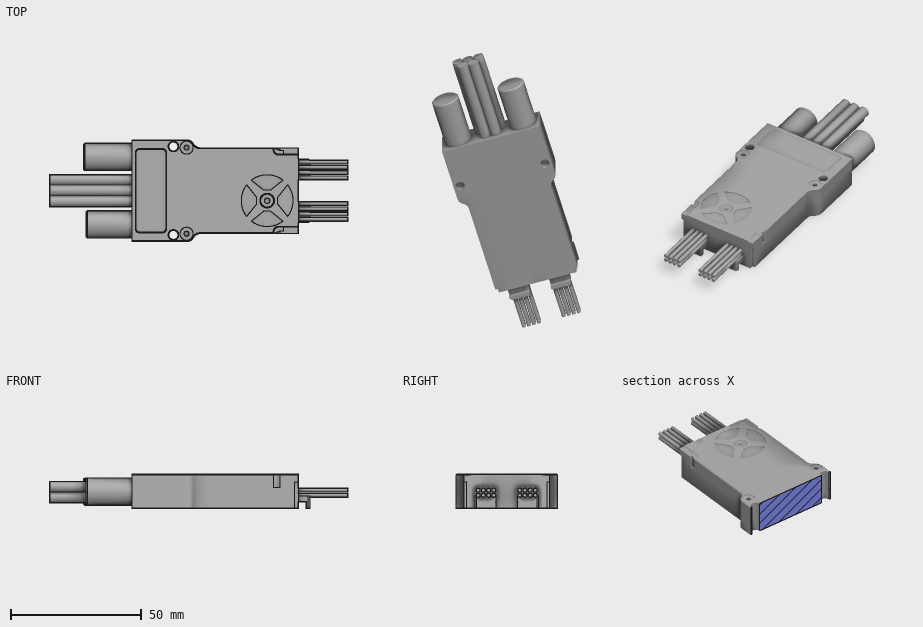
import cadquery as cq
import math

TOTAL_LENGTH = 114.1
BODY_LENGTH = 63.6
BODY_HEIGHT = 13.04
WIDE_WIDTH = 38.91
NARROW_WIDTH = 32.8
PARTING_HEIGHT = 8.0
EAR_RADIUS = 3.0
EAR_X = 20.9
TOP_CHAMFER = 0.35
HALF_WIDE = WIDE_WIDTH / 2
HALF_NARROW = NARROW_WIDTH / 2
EAR_Y = HALF_WIDE - EAR_RADIUS

PIN_DIAMETER = 10.5
PIN_Y = 12.9
PIN_Z = 6.35
PIN_CHAMFER = 0.5
LEFT_PIN_LENGTH = 18.5
RIGHT_PIN_LENGTH = 17.5
CABLE_DIAMETER = 4.13
CABLE_LENGTH = 31.5
UPPER_CABLE_COUNT = 3
UPPER_CABLE_Z = 8.2
LOWER_CABLE_COUNT = 2
LOWER_CABLE_Z = 4.1

WIRE_DIAMETER = 1.5
WIRE_PITCH = 2.0
WIRE_COLUMNS = 4
WIRE_LENGTH = TOTAL_LENGTH - BODY_LENGTH - CABLE_LENGTH
WIRE_GROUP_Y = 7.93
WIRE_ROWS_Z = (4.95, 6.93)

LATCH_WIDTH = 8.0
LATCH_Y = 8.2
LATCH_REACH = 4.5
LATCH_TOP = 4.75
LATCH_BOTTOM = 2.4
LATCH_LEG = 1.5
LATCH_CHAMFER = 0.7
WINDOW_LENGTH = 1.5
WINDOW_TOP = 10.1
WINDOW_DEPTH = 1.0

LABEL_START_X = 1.3
LABEL_LENGTH = 11.95
LABEL_WIDTH = 32.2
LABEL_RADIUS = 1.6
RECESS_DEPTH = 0.3
HOLE_X = 15.85
HOLE_Y = 16.9
HOLE_DIAMETER = 3.5
HOLE_MOUTH_DIAMETER = 4.0
SCREW_HEAD_DIAMETER = 5.0
SCREW_SOCKET_DIAMETER = 1.92
SOCKET_DEPTH = 1.5

FAN_X = 51.7
FAN_Y = -3.8
FAN_RADIUS = 9.9
SECTOR_INNER_OFFSET = 4.0
SECTOR_INNER_HALF_WIDTH = 1.3
SECTOR_OUTER_HALF_WIDTH = 6.05
SECTOR_COUNT = 4
HUB_MOUTH_DIAMETER = 5.6
HUB_DIMPLE_DIAMETER = 2.08
HUB_DIMPLE_DEPTH = 0.6

CORNER_START_X = 54.0
CORNER_DEPTH = 2.75
CORNER_RADIUS = 2.0
RELIEF_START_X = 54.2
RELIEF_LENGTH = 2.4
RELIEF_DEPTH = 1.0
BLOCK_TONGUE_START = 1.4
BLOCK_STEP = 0.1


def mirrored(shape):
    """Return the shape joined with its mirror image across Y = 0."""
    return shape.union(shape.mirror("XZ"))


def rod(diameter, x, y, z, length):
    """Round bar that runs along +X from the given point."""
    return cq.Workplane("YZ", origin=(x, y, z)).circle(diameter / 2).extrude(length)


def top_plane(x=0, y=0):
    return cq.Workplane("XY", origin=(x, y, BODY_HEIGHT))


def bevelled_recess(sketch):
    """Shallow cutter with walls at 45 degrees."""
    return sketch.extrude(-RECESS_DEPTH, taper=45)


def housing():
    rise = (HALF_NARROW + EAR_RADIUS) - EAR_Y
    run = math.sqrt((2 * EAR_RADIUS) ** 2 - rise ** 2)
    bend_end_x = EAR_X + run
    joint = (EAR_X + run / 2, EAR_Y + rise / 2)
    turn = math.pi / 2 - math.atan2(rise, run)
    ear_mid = (
        EAR_X + EAR_RADIUS * math.sin(turn / 2),
        EAR_Y + EAR_RADIUS * math.cos(turn / 2),
    )
    bend_mid = (
        bend_end_x - EAR_RADIUS * math.sin(turn / 2),
        HALF_NARROW + EAR_RADIUS - EAR_RADIUS * math.cos(turn / 2),
    )
    half = (
        cq.Workplane("XY")
        .lineTo(0, HALF_WIDE)
        .lineTo(EAR_X, HALF_WIDE)
        .threePointArc(ear_mid, joint)
        .threePointArc(bend_mid, (bend_end_x, HALF_NARROW))
        .lineTo(BODY_LENGTH, HALF_NARROW)
        .lineTo(BODY_LENGTH, 0)
        .close()
        .extrude(BODY_HEIGHT)
    )
    body = mirrored(half)
    side_edges = body.faces(">Z").edges("not(<X or >X)")
    return side_edges.chamfer(TOP_CHAMFER)


def label_recess():
    centre_x = LABEL_START_X + LABEL_LENGTH / 2
    outline = top_plane(centre_x).sketch().rect(LABEL_LENGTH, LABEL_WIDTH)
    return bevelled_recess(outline.vertices().fillet(LABEL_RADIUS).finalize())


def bevelled_hole(x, y, mouth_diameter, diameter, depth):
    """Hole cutter whose mouth narrows at 45 degrees to the bore."""
    bevel = (mouth_diameter - diameter) / 2
    bore = top_plane(x, y).circle(diameter / 2).extrude(-depth)
    mouth = top_plane(x, y).circle(mouth_diameter / 2).extrude(-bevel, taper=45)
    return bore.union(mouth)


def mounting_holes():
    hole = bevelled_hole(HOLE_X, HOLE_Y, HOLE_MOUTH_DIAMETER, HOLE_DIAMETER, BODY_HEIGHT)
    return mirrored(hole)


def ear_screws():
    head = top_plane(EAR_X, EAR_Y).circle(SCREW_HEAD_DIAMETER / 2).extrude(-RECESS_DEPTH)
    socket = top_plane(EAR_X, EAR_Y).circle(SCREW_SOCKET_DIAMETER / 2).extrude(-SOCKET_DEPTH)
    return mirrored(head.union(socket))


def fan_hub():
    seat = bevelled_hole(FAN_X, FAN_Y, HUB_MOUTH_DIAMETER, SCREW_HEAD_DIAMETER, RECESS_DEPTH)
    seat_floor = cq.Vector(FAN_X, FAN_Y, BODY_HEIGHT - RECESS_DEPTH)
    downward = cq.Vector(0, 0, -1)
    dimple_radius = HUB_DIMPLE_DIAMETER / 2
    dimple = cq.Solid.makeCone(dimple_radius, 0, HUB_DIMPLE_DEPTH, seat_floor, downward)
    return seat.union(cq.Workplane(dimple))


def fan_sectors():
    outer_y = math.sqrt(FAN_RADIUS ** 2 - SECTOR_OUTER_HALF_WIDTH ** 2)
    sector = (
        top_plane(FAN_X, FAN_Y)
        .moveTo(-SECTOR_INNER_HALF_WIDTH, SECTOR_INNER_OFFSET)
        .lineTo(-SECTOR_OUTER_HALF_WIDTH, outer_y)
        .threePointArc((0, FAN_RADIUS), (SECTOR_OUTER_HALF_WIDTH, outer_y))
        .lineTo(SECTOR_INNER_HALF_WIDTH, SECTOR_INNER_OFFSET)
        .close()
        .extrude(-RECESS_DEPTH)
    )
    sectors = cq.Workplane()
    for index in range(SECTOR_COUNT):
        angle = index * 360 / SECTOR_COUNT
        turned = sector.rotate((FAN_X, FAN_Y, 0), (FAN_X, FAN_Y, 1), angle)
        sectors = sectors.add(turned)
    return sectors.combine()


def corner_steps():
    """Lowered lid corners, tapered side reliefs and the base blocks beside them."""
    inner_y = HALF_NARROW - CORNER_DEPTH
    overshoot = CORNER_RADIUS
    step = bevelled_recess(
        top_plane()
        .moveTo(CORNER_START_X, HALF_NARROW + overshoot)
        .lineTo(CORNER_START_X, inner_y + CORNER_RADIUS)
        .radiusArc((CORNER_START_X + CORNER_RADIUS, inner_y), -CORNER_RADIUS)
        .lineTo(BODY_LENGTH + overshoot, inner_y)
        .lineTo(BODY_LENGTH + overshoot, HALF_NARROW + overshoot)
        .close()
    )
    block_x = RELIEF_START_X + RELIEF_LENGTH
    relief_y = HALF_NARROW - RELIEF_DEPTH
    relief = (
        cq.Workplane("XY", origin=(0, 0, PARTING_HEIGHT))
        .moveTo(RELIEF_START_X, HALF_NARROW)
        .lineTo(block_x, HALF_NARROW)
        .lineTo(block_x, relief_y)
        .close()
        .extrude(BODY_HEIGHT - PARTING_HEIGHT)
    )
    floor_y = inner_y + RECESS_DEPTH
    block = (
        top_plane()
        .moveTo(block_x, HALF_NARROW)
        .lineTo(block_x, relief_y)
        .lineTo(block_x + BLOCK_TONGUE_START, relief_y)
        .lineTo(block_x + BLOCK_TONGUE_START, floor_y)
        .lineTo(BODY_LENGTH, floor_y)
        .lineTo(BODY_LENGTH, HALF_NARROW)
        .close()
        .extrude(-RECESS_DEPTH - BLOCK_STEP)
    )
    return mirrored(step.union(relief).union(block))


def latch_windows():
    corner = (BODY_LENGTH - WINDOW_LENGTH, HALF_NARROW - WINDOW_DEPTH, 0)
    window = cq.Workplane("XY", origin=corner)
    return mirrored(window.box(WINDOW_LENGTH, WINDOW_DEPTH, WINDOW_TOP, centered=False))


def latches():
    tip_x = BODY_LENGTH + LATCH_REACH
    root_x = BODY_LENGTH - WINDOW_LENGTH
    latch = (
        cq.Workplane("XZ", origin=(0, LATCH_Y + LATCH_WIDTH / 2, 0))
        .moveTo(root_x, LATCH_TOP)
        .lineTo(tip_x, LATCH_TOP)
        .lineTo(tip_x, 0)
        .lineTo(tip_x - LATCH_LEG, 0)
        .lineTo(tip_x - LATCH_LEG, LATCH_BOTTOM)
        .lineTo(root_x, LATCH_BOTTOM)
        .close()
        .extrude(LATCH_WIDTH)
    )
    return mirrored(latch.edges("|Z and >X and >Y").chamfer(LATCH_CHAMFER))


def pin(y, length):
    return rod(PIN_DIAMETER, -length, y, PIN_Z, length).faces("<X").chamfer(PIN_CHAMFER)


def cables():
    rows = ((UPPER_CABLE_COUNT, UPPER_CABLE_Z), (LOWER_CABLE_COUNT, LOWER_CABLE_Z))
    bundle = cq.Workplane()
    for count, z in rows:
        for index in range(count):
            y = (index - (count - 1) / 2) * CABLE_DIAMETER
            bundle = bundle.add(rod(CABLE_DIAMETER, -CABLE_LENGTH, y, z, CABLE_LENGTH))
    return bundle.combine()


def wires():
    group = cq.Workplane()
    for z in WIRE_ROWS_Z:
        for column in range(WIRE_COLUMNS):
            y = WIRE_GROUP_Y + (column - (WIRE_COLUMNS - 1) / 2) * WIRE_PITCH
            group = group.add(rod(WIRE_DIAMETER, BODY_LENGTH, y, z, WIRE_LENGTH))
    return mirrored(group.combine())


cutters = (
    label_recess(),
    mounting_holes(),
    ear_screws(),
    fan_hub(),
    fan_sectors(),
    corner_steps(),
    latch_windows(),
)
additions = (
    latches(),
    pin(PIN_Y, LEFT_PIN_LENGTH),
    pin(-PIN_Y, RIGHT_PIN_LENGTH),
    cables(),
    wires(),
)

result = housing()
for cutter in cutters:
    result = result.cut(cutter)
for addition in additions:
    result = result.union(addition)